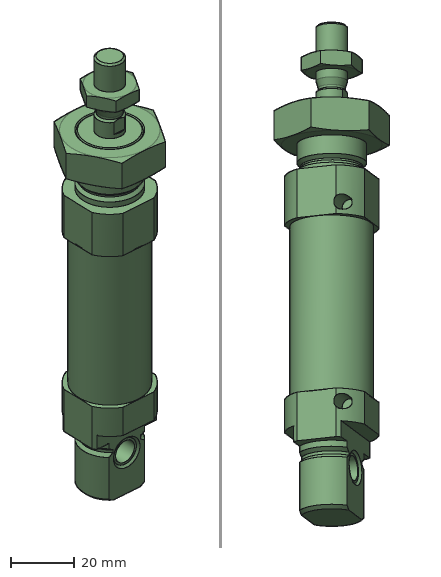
import cadquery as cq
import math


tube_diameter = 26.5
tube_bottom = 38.2
tube_top = 95.5
cap_across_flats = 27
cap_corner_diameter = 30
head_cap_top = 111.5
end_cap_bottom = 22.2

collar_diameter = 22
collar_length = 22
collar_top = head_cap_top + collar_length
thread_root_diameter = 20.38
thread_depth = (collar_diameter - thread_root_diameter) / 2

groove_diameter = 19.7
groove_side = (collar_diameter - groove_diameter) / 2
undercut_gap = 2
head_undercut_width = 2.9
eye_undercut_width = 3.3

eye_thickness = 16
eye_relief_top = 27.5
eye_hole_height = 15.5
eye_hole_diameter = 8
eye_recess_diameter = 9.6
eye_countersink_diameter = 11.2

port_diameter = 5
port_offset_x = -8.3
port_floor_y = 6
head_port_height = 99.5
end_port_height = 34

rod_diameter = 10
rod_thread_length = 22
rod_tip = 161.5
rod_shoulder = rod_tip - rod_thread_length
rod_inner_end = tube_top
rod_tip_chamfer_diameter = 8.65
rod_tip_chamfer = (rod_diameter - rod_tip_chamfer_diameter) / 2
rod_groove_diameter = 8.57
rod_groove_side = (rod_diameter - rod_groove_diameter) / 2
rod_thread_end = 143.3
rod_groove_top = 141
wrench_flats_width = 9
wrench_flats_length = 4.5

mounting_nut_across_flats = 32
mounting_nut_height = 11
mounting_nut_bottom = collar_top - mounting_nut_height
lock_nut_across_flats = 17
lock_nut_height = 5
lock_nut_bottom = 146.1
hexagon_half_angle = 30
nut_chamfer_angle = 15
nut_face_ratio = 0.99


def cylinder(diameter, bottom, top):
    return cq.Workplane("XY").workplane(offset=bottom).circle(diameter / 2).extrude(top - bottom)


def revolved(profile):
    """Solid of revolution about Z from (radius, height) points."""
    return cq.Workplane("XZ").polyline(profile).close().revolve(360, (0, 0, 0), (0, 1, 0))


def cap(bottom, top):
    """Square block with its corners rounded to the cap's corner diameter."""
    square = (
        cq.Workplane("XY")
        .workplane(offset=bottom)
        .rect(cap_across_flats, cap_across_flats)
        .extrude(top - bottom)
    )
    return square.intersect(cylinder(cap_corner_diameter, bottom, top))


def threaded_collar():
    outer = collar_diameter / 2
    groove = groove_diameter / 2
    groove_bottom = head_cap_top + undercut_gap
    groove_top = groove_bottom + head_undercut_width
    return revolved([
        (0, head_cap_top),
        (outer, head_cap_top),
        (outer, groove_bottom),
        (groove, groove_bottom + groove_side),
        (groove, groove_top - groove_side),
        (outer, groove_top),
        (outer, collar_top - thread_depth),
        (thread_root_diameter / 2, collar_top),
        (0, collar_top),
    ])


def eye_stem():
    outer = collar_diameter / 2
    groove = groove_diameter / 2
    groove_top = end_cap_bottom - undercut_gap
    groove_bottom = groove_top - eye_undercut_width
    return revolved([
        (0, 0),
        (groove, 0),
        (outer, groove_side),
        (outer, groove_bottom),
        (groove, groove_bottom + groove_side),
        (groove, groove_top - groove_side),
        (outer, groove_top),
        (outer, end_cap_bottom),
        (0, end_cap_bottom),
    ])


def eye_side_reliefs():
    """Blocks that cut the eye down to its thickness on both sides."""
    depth = cap_corner_diameter / 2
    offset = (eye_thickness + depth) / 2
    return (
        cq.Workplane("XY")
        .pushPoints([(-offset, 0), (offset, 0)])
        .rect(depth, 2 * cap_corner_diameter)
        .extrude(eye_relief_top)
    )


def eye_hole():
    """Cross hole along X, with a countersunk shallow recess on both sides."""
    half = eye_thickness / 2
    hole = eye_hole_diameter / 2
    recess = eye_recess_diameter / 2
    rim = eye_countersink_diameter / 2
    recess_floor = half - (rim - recess)
    profile = [
        (-half, 0),
        (-half, rim),
        (-recess_floor, recess),
        (-recess_floor, hole),
        (recess_floor, hole),
        (recess_floor, recess),
        (half, rim),
        (half, 0),
    ]
    bore = cq.Workplane("XY").polyline(profile).close().revolve(360, (0, 0, 0), (1, 0, 0))
    return bore.translate((0, 0, eye_hole_height))


def port(height):
    """Blind hole entering the cap from the +Y side."""
    return (
        cq.Workplane("XZ", origin=(port_offset_x, port_floor_y, height))
        .circle(port_diameter / 2)
        .extrude(-cap_corner_diameter)
    )


def make_cylinder_body():
    body = cap(end_cap_bottom, tube_bottom)
    body = body.union(cylinder(tube_diameter, tube_bottom, tube_top))
    body = body.union(cap(tube_top, head_cap_top))
    body = body.union(threaded_collar())
    body = body.union(eye_stem())
    body = body.cut(eye_side_reliefs()).cut(eye_hole())
    for height in (head_port_height, end_port_height):
        body = body.cut(port(height))
    return body.cut(cylinder(rod_diameter, rod_inner_end, collar_top))


def make_piston_rod():
    outer = rod_diameter / 2
    groove = rod_groove_diameter / 2
    rod = revolved([
        (0, rod_inner_end),
        (outer, rod_inner_end),
        (outer, rod_shoulder),
        (groove, rod_shoulder + rod_groove_side),
        (groove, rod_groove_top),
        (outer, rod_thread_end),
        (outer, rod_tip - rod_tip_chamfer),
        (rod_tip_chamfer_diameter / 2, rod_tip),
        (0, rod_tip),
    ])
    flat_offset = wrench_flats_width / 2 + rod_diameter / 2
    flats = (
        cq.Workplane("XY")
        .workplane(offset=rod_shoulder - wrench_flats_length)
        .pushPoints([(-flat_offset, 0), (flat_offset, 0)])
        .rect(rod_diameter, 2 * rod_diameter)
        .extrude(wrench_flats_length + rod_groove_side)
    )
    return rod.cut(flats)


def make_hex_nut(across_flats, height, bore_diameter, bottom):
    """Nut with corners on the Y axis and conical chamfers on both faces."""
    corner_diameter = across_flats / math.cos(math.radians(hexagon_half_angle))
    corner = corner_diameter / 2
    face = across_flats / 2 * nut_face_ratio
    drop = (corner - face) * math.tan(math.radians(nut_chamfer_angle))
    prism = cq.Workplane("XY").polygon(6, corner_diameter).extrude(height)
    prism = prism.rotate((0, 0, 0), (0, 0, 1), hexagon_half_angle)
    chamfers = revolved([
        (0, 0),
        (face, 0),
        (corner, drop),
        (corner, height - drop),
        (face, height),
        (0, height),
    ])
    nut = prism.intersect(chamfers).cut(cylinder(bore_diameter, 0, height))
    return nut.translate((0, 0, bottom))


def make_mounting_nut():
    """Nut bored to the thread root, countersunk on both faces, then fitted around the collar."""
    nut = make_hex_nut(
        mounting_nut_across_flats, mounting_nut_height, thread_root_diameter, mounting_nut_bottom
    )
    nut = nut.faces("<Z or >Z").edges(cq.selectors.RadiusNthSelector(0)).chamfer(thread_depth)
    return nut.cut(threaded_collar())


cylinder_body = make_cylinder_body()
piston_rod = make_piston_rod()
mounting_nut = make_mounting_nut()
lock_nut = make_hex_nut(lock_nut_across_flats, lock_nut_height, rod_diameter, lock_nut_bottom)

result = cq.Compound.makeCompound([
    cylinder_body.val(),
    piston_rod.val(),
    mounting_nut.val(),
    lock_nut.val(),
])